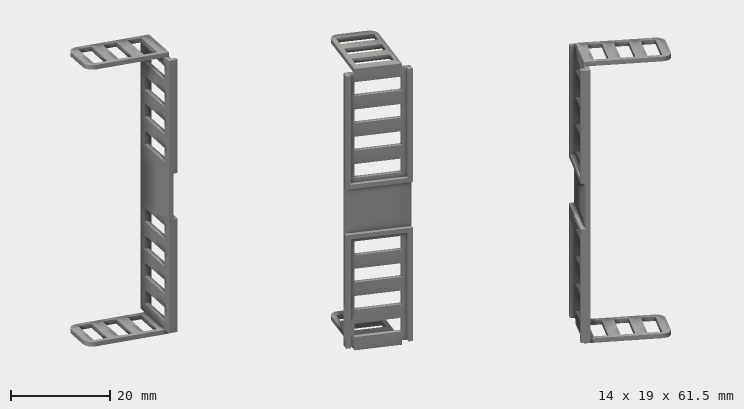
import cadquery as cq

total_height = 61.5
total_depth = 19.0
plate_width = 14.0

wall = 1.0
plate_height = total_height - 2 * wall
plate_depth = 2 * wall
back_y = total_depth / 2
web_back_y = back_y - wall

gap_height = 9.95
field_height = (plate_height - gap_height) / 2
pocket_width = plate_width - 2 * wall
pocket_height = field_height - wall

slot_height = 3.0
slot_end_margin = 1.9

web_slot_width = 9.95
web_slot_pitch = 5.95
web_slot_count = 4

arm_width = 9.95
arm_length = total_depth - wall
arm_corner_radius = 1.95
arm_tip_y = web_back_y - arm_length
arm_slot_width = 8.0
arm_slot_pitch = 5.5
arm_slot_count = 3


def make_half_plate():
    """Upper half of the plate: a web with a rear rim, open at the top end."""
    web = cq.Workplane("XY").box(plate_width, wall, plate_height / 2, centered=(True, False, False))
    web = web.translate((0, web_back_y - wall, 0))
    field = cq.Workplane("XY").box(plate_width, wall, field_height, centered=(True, False, False))
    pocket = cq.Workplane("XY").box(pocket_width, wall, pocket_height, centered=(True, False, False))
    rim = field.cut(pocket.translate((0, 0, wall)))
    half = web.union(rim.translate((0, web_back_y, gap_height / 2)))

    first_slot_z = plate_height / 2 - slot_end_margin - slot_height / 2
    for index in range(web_slot_count):
        slot = cq.Workplane("XY").box(web_slot_width, plate_depth, slot_height)
        slot_z = first_slot_z - index * web_slot_pitch
        half = half.cut(slot.translate((0, back_y - plate_depth / 2, slot_z)))
    return half


def make_arm():
    """Slotted arm with a rounded tip, resting on the top end of the web."""
    arm = cq.Workplane("XY").box(arm_width, arm_length, wall, centered=(True, False, False))
    arm = arm.edges("|Z and <Y").fillet(arm_corner_radius)
    arm = arm.translate((0, arm_tip_y, plate_height / 2))

    first_slot_y = arm_tip_y + slot_end_margin + slot_height / 2
    for index in range(arm_slot_count):
        slot = cq.Workplane("XY").box(arm_slot_width, slot_height, wall, centered=(True, True, False))
        slot_y = first_slot_y + index * arm_slot_pitch
        arm = arm.cut(slot.translate((0, slot_y, plate_height / 2)))
    return arm


upper_half = make_half_plate().union(make_arm())
result = upper_half.union(upper_half.mirror("XY")).clean()